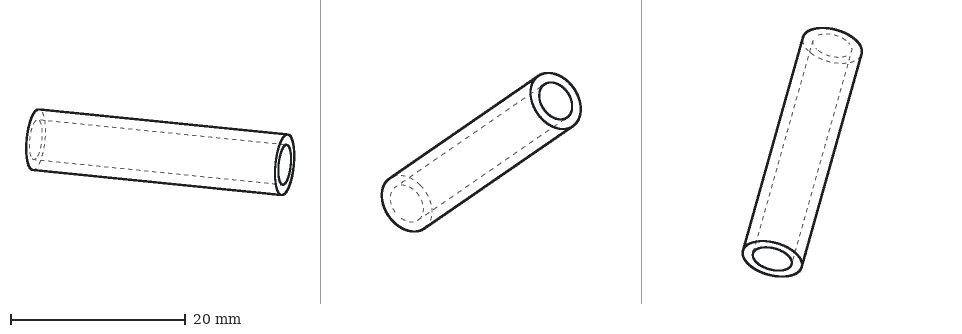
import cadquery as cq

length = 30.0
outer_diameter = 7.0
bore_diameter = 4.6

result = (
    cq.Workplane("YZ", origin=(-length / 2, 0, 0))
    .circle(outer_diameter / 2)
    .circle(bore_diameter / 2)
    .extrude(length)
)